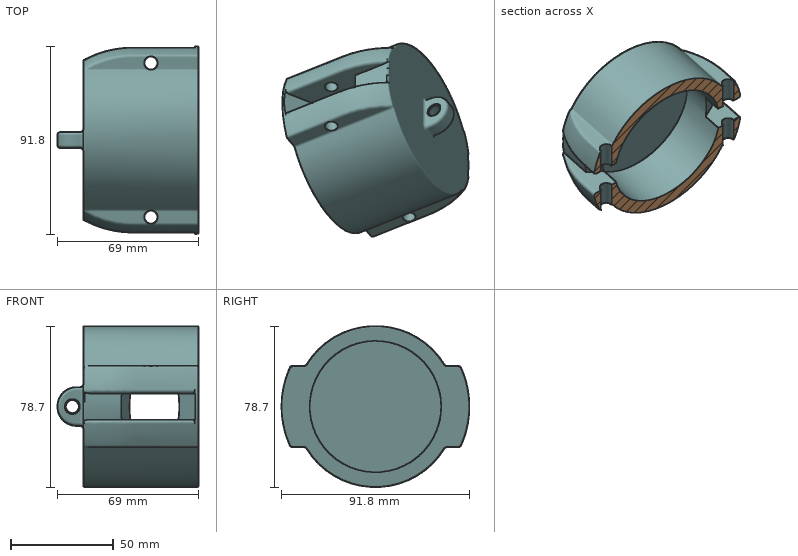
import cadquery as cq
import math

BODY_LENGTH = 56.26
BODY_RADIUS = 78.74 / 2
BORE_RADIUS = 64.14 / 2
FLOOR_THICKNESS = BODY_RADIUS - BORE_RADIUS
END_ROUND = 0.79

EAR_RADIUS = 91.79 / 2
EAR_HEIGHT = 39.69
EAR_INNER_Y = BORE_RADIUS / 2
EAR_TAPER_RADIUS = 50.8
EAR_TAPER_LENGTH = 24.2
EAR_ROUND = 1.5875
EAR_ROOT_FILLET = 1.5875

SLOT_HEIGHT = 12.7
SLOT_WALL_SLANT = math.radians(30)
SLOT_START_X = 18.4
SLOT_END_X = 54.75

PIN_DIAMETER = 6.35
PIN_X = 33.0
PIN_Y = 37.6

EYE_REACH = 12.7
EYE_RADIUS = 9.525
EYE_THICKNESS = 7.94
EYE_ROUND = 1.5875
EYE_ROOT_FILLET = 1.5875
EYE_HOLE_DIAMETER = 6.35
EYE_HOLE_X = -5.35
EYE_HOLE_CHAMFER = 0.5


def taper_radius(x):
    """Ear radius at x within the taper, where a large arc meets the straight part smoothly."""
    drop = EAR_TAPER_RADIUS - math.sqrt(EAR_TAPER_RADIUS**2 - (EAR_TAPER_LENGTH - x) ** 2)
    return EAR_RADIUS - drop


def ear_envelope():
    """Solid of revolution about X that bounds both ears from outside."""
    mid_taper = EAR_TAPER_LENGTH / 2
    return (
        cq.Workplane("XY")
        .lineTo(0, taper_radius(0))
        .threePointArc((mid_taper, taper_radius(mid_taper)), (EAR_TAPER_LENGTH, EAR_RADIUS))
        .lineTo(BODY_LENGTH, EAR_RADIUS)
        .lineTo(BODY_LENGTH, 0)
        .close()
        .revolve(360, (0, 0, 0), (1, 0, 0))
    )


def spans_length(edge):
    """True for edges that run along X over the ear taper or further."""
    return edge.BoundingBox().xlen > EAR_TAPER_LENGTH / 2


def ear_bar(low_z, high_z):
    """Part of the +Y ear between two heights, with its long outer edges rounded."""
    blank = (
        cq.Workplane("XY", origin=(0, EAR_INNER_Y, low_z))
        .box(BODY_LENGTH, EAR_RADIUS, high_z - low_z, centered=False)
    )
    bar = ear_envelope().intersect(blank)
    outer_edges = [
        edge
        for edge in bar.edges().vals()
        if spans_length(edge) and edge.Center().y > EAR_INNER_Y + EAR_ROUND
    ]
    return bar.newObject(outer_edges).fillet(EAR_ROUND)


def slot_end_x(y):
    """Position of the slanted +X end wall of the slot at distance y from the axis."""
    return SLOT_END_X - (EAR_RADIUS - y) * math.tan(SLOT_WALL_SLANT)


def make_ear():
    """The +Y ear: an upper and a lower bar joined by a rim at the open end."""
    rim_outline = [
        (slot_end_x(EAR_INNER_Y), EAR_INNER_Y),
        (slot_end_x(EAR_RADIUS), EAR_RADIUS),
        (BODY_LENGTH, EAR_RADIUS),
        (BODY_LENGTH, EAR_INNER_Y),
    ]
    rim_zone = cq.Workplane("XY").polyline(rim_outline).close().extrude(EAR_HEIGHT, both=True)
    rim = ear_bar(-EAR_HEIGHT / 2, EAR_HEIGHT / 2).intersect(rim_zone)
    upper_bar = ear_bar(SLOT_HEIGHT / 2, EAR_HEIGHT / 2)
    return rim.union(upper_bar).union(upper_bar.mirror("XY"))


def make_outer_body():
    """Solid cylinder with both ears, blended at the roots and rounded at both ends."""
    ear = make_ear()
    cylinder = cq.Workplane("YZ").circle(BODY_RADIUS).extrude(BODY_LENGTH)
    body = cylinder.union(ear).union(ear.mirror("XZ"))
    root_y = math.sqrt(BODY_RADIUS**2 - (EAR_HEIGHT / 2) ** 2)
    root_edges = [
        edge
        for edge in body.edges().vals()
        if spans_length(edge) and abs(abs(edge.Center().y) - root_y) < EAR_ROUND / 2
    ]
    body = body.newObject(root_edges).fillet(EAR_ROOT_FILLET)
    return body.faces("<X or >X").edges().fillet(END_ROUND)


def wall_slot():
    """Cutter for the +Y slot through the cup wall, narrowing towards the bore."""
    lean = (BODY_RADIUS - EAR_INNER_Y) * math.tan(SLOT_WALL_SLANT)
    outline = [
        (SLOT_START_X, BODY_RADIUS),
        (SLOT_START_X + lean, EAR_INNER_Y),
        (slot_end_x(EAR_INNER_Y), EAR_INNER_Y),
        (slot_end_x(BODY_RADIUS), BODY_RADIUS),
    ]
    return cq.Workplane("XY").polyline(outline).close().extrude(SLOT_HEIGHT / 2, both=True)


def make_cap():
    """Cup with its bore, arm slots and pin holes."""
    bore = cq.Workplane("YZ", origin=(FLOOR_THICKNESS, 0, 0)).circle(BORE_RADIUS).extrude(BODY_LENGTH)
    pin_holes = (
        cq.Workplane("XY")
        .pushPoints([(PIN_X, -PIN_Y), (PIN_X, PIN_Y)])
        .circle(PIN_DIAMETER / 2)
        .extrude(EAR_HEIGHT, both=True)
    )
    slot = wall_slot()
    return make_outer_body().cut(bore).cut(slot).cut(slot.mirror("XZ")).cut(pin_holes)


def make_eye():
    """Rounded lug with a cross hole along Y, reaching into the floor of the cap."""
    arc_center_x = EYE_RADIUS - EYE_REACH
    root_x = FLOOR_THICKNESS / 2
    return (
        cq.Workplane("XZ")
        .moveTo(root_x, EYE_RADIUS)
        .lineTo(arc_center_x, EYE_RADIUS)
        .threePointArc((-EYE_REACH, 0), (arc_center_x, -EYE_RADIUS))
        .lineTo(root_x, -EYE_RADIUS)
        .close()
        .extrude(EYE_THICKNESS / 2, both=True)
        .faces("<Y or >Y")
        .edges("not >X")
        .fillet(EYE_ROUND)
    )


def add_eye(cap):
    """Join the eye to the closed end, blend its root and drill its hole."""
    eyed = cap.union(make_eye())
    on_end_face = cq.selectors.NearestToPointSelector((0, 0, BODY_RADIUS / 2))
    end_edges = eyed.faces(on_end_face).edges().vals()
    root_edges = [
        edge
        for edge in end_edges
        if edge.Length() < BODY_RADIUS and edge.Center().Length < BODY_RADIUS / 2
    ]
    eyed = eyed.newObject(root_edges).fillet(EYE_ROOT_FILLET)
    hole_radius = EYE_HOLE_DIAMETER / 2
    drill = (
        cq.Workplane("XZ", origin=(EYE_HOLE_X, 0, 0))
        .circle(hole_radius)
        .extrude(EYE_THICKNESS, both=True)
    )
    for side in (-1, 1):
        rim = cq.Solid.makeCone(
            hole_radius + EYE_HOLE_CHAMFER,
            hole_radius,
            EYE_HOLE_CHAMFER,
            pnt=cq.Vector(EYE_HOLE_X, side * EYE_THICKNESS / 2, 0),
            dir=cq.Vector(0, -side, 0),
        )
        drill = drill.union(cq.Workplane(rim))
    return eyed.cut(drill)


result = add_eye(make_cap())